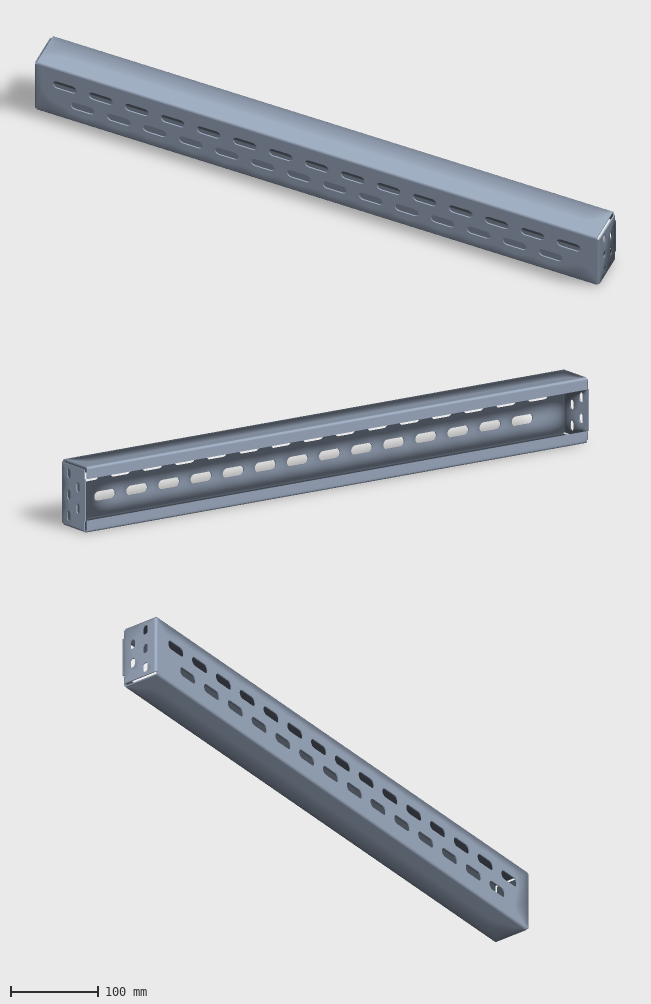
import cadquery as cq

LENGTH = 706.0
DEPTH = 48.0
HEIGHT = 78.0
SHEET = 1.5
BEND_RADIUS = 3.0
INNER_RADIUS = BEND_RADIUS - SHEET

WEB_LENGTH = LENGTH - 2 * BEND_RADIUS
WEB_HEIGHT = HEIGHT - 2 * BEND_RADIUS

LIP_HEIGHT = 14.0
NOTCH_DEPTH = 2.5

UPPER_ROW_SPAN = 630.0
SLOT_LENGTH = 30.0
SLOT_WIDTH = 11.0
UPPER_SLOT_COUNT = 15
LOWER_SLOT_COUNT = UPPER_SLOT_COUNT - 1
SLOT_PITCH = UPPER_ROW_SPAN / (UPPER_SLOT_COUNT - 1)

END_SLOT_HEIGHT = 12.0
END_SLOT_WIDTH = 7.0
FRONT_COLUMN_COUNT = 3
BACK_COLUMN_COUNT = FRONT_COLUMN_COUNT - 1
FRONT_COLUMN_SPAN = 50.0
END_SLOT_PITCH = FRONT_COLUMN_SPAN / (FRONT_COLUMN_COUNT - 1)
FRONT_COLUMN_Y = -8.5
BACK_COLUMN_Y = 10.0

ROW_SPACING = END_SLOT_PITCH


def lipped_channel():
    """Web with top and bottom flanges that return in lips along the back."""
    outer = cq.Workplane("XY").box(WEB_LENGTH, DEPTH, HEIGHT).edges("|X").fillet(BEND_RADIUS)
    inner = cq.Workplane("XY").box(WEB_LENGTH, DEPTH - 2 * SHEET, HEIGHT - 2 * SHEET)
    inner = inner.edges("|X").fillet(INNER_RADIUS)
    back_opening = cq.Workplane("XY").box(WEB_LENGTH, DEPTH, HEIGHT - 2 * LIP_HEIGHT)
    back_opening = back_opening.translate((0, DEPTH / 2, 0))
    return outer.cut(inner).cut(back_opening)


def end_channel():
    """Web with a flange folded back at each end, cut back beside the lips."""
    outer = cq.Workplane("XY").box(LENGTH, DEPTH, WEB_HEIGHT)
    outer = outer.edges("|Z and <Y").fillet(BEND_RADIUS)
    inner = cq.Workplane("XY").box(LENGTH - 2 * SHEET, DEPTH, WEB_HEIGHT)
    inner = inner.translate((0, SHEET, 0)).edges("|Z and <Y").fillet(INNER_RADIUS)
    notch_height = WEB_HEIGHT / 2 - (HEIGHT / 2 - LIP_HEIGHT)
    top_notches = cq.Workplane("XY").box(LENGTH, NOTCH_DEPTH, notch_height)
    top_notches = top_notches.translate((0, (DEPTH - NOTCH_DEPTH) / 2, (WEB_HEIGHT - notch_height) / 2))
    return outer.cut(inner).cut(top_notches).cut(top_notches.mirror("XY"))


def centered_row(count, pitch):
    """Positions of evenly spaced items about zero."""
    return [(i - (count - 1) / 2) * pitch for i in range(count)]


def web_slots():
    """Cutters for the two staggered rows of web slots."""
    centers = [(x, ROW_SPACING / 2) for x in centered_row(UPPER_SLOT_COUNT, SLOT_PITCH)]
    centers += [(x, -ROW_SPACING / 2) for x in centered_row(LOWER_SLOT_COUNT, SLOT_PITCH)]
    plane = cq.Workplane("XZ", origin=(0, -DEPTH / 2, 0))
    return plane.pushPoints(centers).slot2D(SLOT_LENGTH, SLOT_WIDTH).extrude(-SHEET)


def end_slots():
    """Cutters that run the whole length, through both end flanges."""
    centers = [(FRONT_COLUMN_Y, z) for z in centered_row(FRONT_COLUMN_COUNT, END_SLOT_PITCH)]
    centers += [(BACK_COLUMN_Y, z) for z in centered_row(BACK_COLUMN_COUNT, END_SLOT_PITCH)]
    plane = cq.Workplane("YZ").pushPoints(centers)
    return plane.slot2D(END_SLOT_HEIGHT, END_SLOT_WIDTH, 90).extrude(LENGTH / 2, both=True)


result = lipped_channel().union(end_channel()).cut(web_slots()).cut(end_slots())